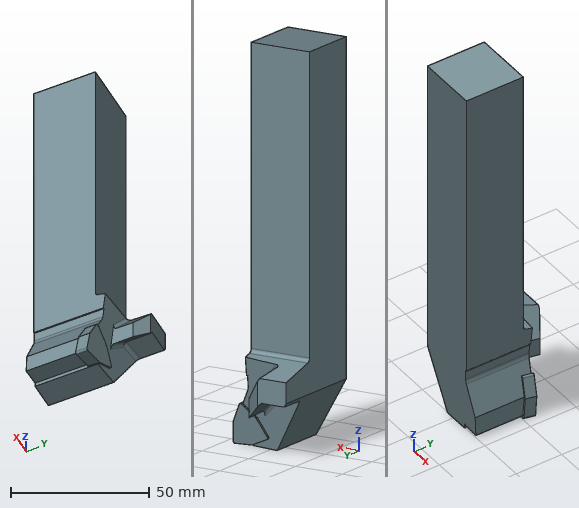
import cadquery as cq
import math

LENGTH = 151.4
SHANK = 25.0
FOOT_Z = 0.3
HEAD_DEPTH = 40.9
SLOPE_TOP_Z = 23.0
FOOT_X = 12.9

RELIEF_X = 24.5
RELIEF_TOP_Z = 27.1
NECK_Z = 22.1
NECK_RADIUS = 4.5
FLANK_X = 30.5
FLANK_TOP_Z = 9.4
TOE_X = 31.0
TOE_Z = 1.5
NOTCH_X = 23.8
NOTCH_Z = 2.0

ROOF_TIP_Z = 30.9
ROOF_ROOT_Z = 35.3
ROOF_FILLET = 1.7

SEAT_Y = 27.7
SEAT_DX = -0.1
SEAT_DZ = 0.11

ARM_BEND_X = 11.4
ARM_TIP_X = 18.3
ARM_TIP_INNER_X = 17.3
ARM_TIP_Z = 14.2
ARM_TOP_SLOPE = 1.33
ARM_UNDER_Z = 21.6
ARM_UNDER_X = 10.6
ARM_CORNER_X = 12.3
ARM_CORNER_Y = 37.0
ARM_ROOT_FILLET = 1.5

INSERT_RADIUS = 6.4
INSERT_THICKNESS = 4.8
INSERT_PROUD = 0.73
INSERT_CORNERS = 6
INSERT_CORNER_STEP = 360 / INSERT_CORNERS
INSERT_TIP_ANGLE = 80.0
INSERT_TIP_DIRECTION = -45.0
INSERT_NOSE_RADIUS = 0.8
INSERT_X = 25.6
INSERT_Z = 7.0

CUT_SIZE = 3 * LENGTH


def seat_y(x, z):
    return SEAT_Y + SEAT_DX * x + SEAT_DZ * z


def seat_plane(x, z, offset=0.0):
    """Plane on the seat at (x, z), with its normal pointing out of the head."""
    normal = cq.Vector(-SEAT_DX, 1, -SEAT_DZ).normalized()
    origin = cq.Vector(x, seat_y(x, z), z) + normal * offset
    return cq.Plane(origin, cq.Vector(1, SEAT_DX, 0), normal)


def extrude_back(points, depth):
    """Extrude an XZ outline from the front face toward +Y."""
    return cq.Workplane("XZ").polyline(points).close().extrude(-depth)


def make_side_envelope():
    """Shank with the sloping roof of the arm, as an outline along X."""
    outline = [
        (0, -LENGTH),
        (HEAD_DEPTH, -LENGTH),
        (HEAD_DEPTH, ROOF_TIP_Z),
        (SHANK, ROOF_ROOT_Z),
        (SHANK, LENGTH),
        (0, LENGTH),
    ]
    envelope = cq.Workplane("YZ").polyline(outline).close().extrude(LENGTH)
    root = cq.selectors.NearestToPointSelector((LENGTH / 2, SHANK, ROOF_ROOT_Z))
    return envelope.edges(root).fillet(ROOF_FILLET)


def make_head_and_shank():
    outline = [
        (0, LENGTH),
        (0, SLOPE_TOP_Z),
        (FOOT_X, FOOT_Z),
        (NOTCH_X, FOOT_Z),
        (NOTCH_X, NOTCH_Z),
        (TOE_X, TOE_Z),
        (FLANK_X, FLANK_TOP_Z),
        (RELIEF_X, NECK_Z),
        (RELIEF_X, RELIEF_TOP_Z),
        (SHANK, RELIEF_TOP_Z),
        (SHANK, LENGTH),
    ]
    block = extrude_back(outline, HEAD_DEPTH)
    neck = cq.selectors.NearestToPointSelector((RELIEF_X, HEAD_DEPTH / 2, NECK_Z))
    block = block.edges(neck).fillet(NECK_RADIUS)
    behind_seat = cq.Workplane(seat_plane(0, 0)).rect(CUT_SIZE, CUT_SIZE).extrude(HEAD_DEPTH)
    return block.cut(behind_seat)


def arm_top_z(x):
    return ROOF_TIP_Z - ARM_TOP_SLOPE * (x - ARM_BEND_X)


def make_arm():
    slope_run = FOOT_X / (SLOPE_TOP_Z - FOOT_Z)
    top_x = ARM_BEND_X - (ROOF_ROOT_Z - ROOF_TIP_Z) / ARM_TOP_SLOPE
    outline = [
        (0, ROOF_ROOT_Z),
        (0, SLOPE_TOP_Z),
        ((SLOPE_TOP_Z - ARM_UNDER_Z) * slope_run, ARM_UNDER_Z),
        (ARM_UNDER_X, ARM_UNDER_Z),
        (ARM_TIP_X, ARM_TIP_Z),
        (ARM_TIP_X, arm_top_z(ARM_TIP_X)),
        (top_x, ROOF_ROOT_Z),
    ]
    plan = [
        (0, SHANK),
        (ARM_TIP_INNER_X, SHANK),
        (ARM_TIP_X, ARM_CORNER_Y),
        (ARM_CORNER_X, HEAD_DEPTH),
        (0, HEAD_DEPTH),
    ]
    footprint = cq.Workplane("XY").polyline(plan).close().extrude(LENGTH)
    return extrude_back(outline, HEAD_DEPTH).intersect(footprint)


def make_insert():
    """Six-sided insert: three 80 degree tips with blunt corners between them."""
    half_tip = math.radians(INSERT_TIP_ANGLE / 2)
    tip_reach = INSERT_RADIUS / math.sin(half_tip)
    blunt_reach = INSERT_RADIUS / math.cos(half_tip - math.radians(INSERT_CORNER_STEP / 2))
    points = []
    for i in range(INSERT_CORNERS):
        angle = math.radians(INSERT_TIP_DIRECTION + INSERT_CORNER_STEP * i)
        reach = blunt_reach if i % 2 else tip_reach
        points.append((reach * math.cos(angle), -reach * math.sin(angle)))
    plane = seat_plane(INSERT_X, INSERT_Z, INSERT_PROUD)
    blank = cq.Workplane(plane).polyline(points).close().extrude(-INSERT_THICKNESS)
    for i in range(0, INSERT_CORNERS, 2):
        x, y = points[i]
        tip = cq.selectors.NearestToPointSelector(plane.toWorldCoords((x, y, -INSERT_THICKNESS / 2)))
        blank = blank.edges(tip).fillet(INSERT_NOSE_RADIUS)
    return blank


def join_arm(head, arm):
    """Join the arm to the head, with fillets where it leaves the seat."""
    joined = head.union(arm)
    middle_x = (ARM_BEND_X + ARM_TIP_X) / 2
    under_z = (ARM_UNDER_Z + ARM_TIP_Z) / 2
    root_points = [
        ((ARM_UNDER_X + ARM_TIP_INNER_X) / 2, under_z),
        (ARM_UNDER_X / 2, ARM_UNDER_Z),
        (middle_x, arm_top_z(middle_x)),
    ]
    root_edges = cq.Workplane("XY")
    for x, z in root_points:
        nearest = cq.selectors.NearestToPointSelector((x, seat_y(x, z), z))
        root_edges = root_edges.add(joined.edges(nearest).vals())
    return joined.newObject(root_edges.vals()).fillet(ARM_ROOT_FILLET)


insert = make_insert()
holder = join_arm(make_head_and_shank(), make_arm())
holder = holder.intersect(make_side_envelope()).cut(insert)

result = cq.Compound.makeCompound([holder.val(), insert.val()])